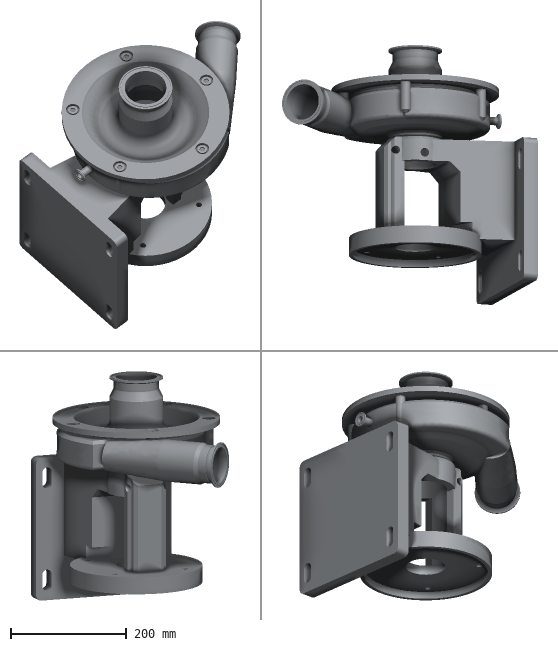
import cadquery as cq
import math


PLATE_SIZE = 250.5
PLATE_FRONT_Y = -181.0
PLATE_THICKNESS = 25.5
PLATE_BACK_Y = PLATE_FRONT_Y + PLATE_THICKNESS
PLATE_CORNER_RADIUS = 10.0
SLOT_SPACING_X = 210.0
SLOT_SPACING_Z = 180.0
SLOT_LENGTH = 37.2
SLOT_WIDTH = 17.0

FLANGE_RADIUS = 114.7
FLANGE_BOTTOM_Z = 54.5
FLANGE_TOP_Z = 84.0
FLANGE_BORE_RADIUS = 34.0
SPIGOT_RADIUS = 107.7
SPIGOT_DEPTH = 12.5
FLANGE_HOLE_CIRCLE_RADIUS = 92.5
FLANGE_HOLE_DIAMETER = 10.0
FLANGE_HOLE_COUNT = 4
FLANGE_FIRST_HOLE_ANGLE = 45

HUB_RADIUS = 51.0
HUB_BORE_RADIUS = 37.2
HUB_BOTTOM_Z = 212.5
HUB_TOP_Z = 254.0
HUB_ROOF_THICKNESS = 6.5
HUB_SIDE_HOLE_DIAMETER = 15.5
HUB_SIDE_HOLE_Z = 226.0
BODY_BOTTOM_Z = 77.0
BODY_HUB_Y = -14.5
BODY_HUB_HALF_WIDTH = math.sqrt(HUB_RADIUS**2 - BODY_HUB_Y**2)
BODY_PLATE_HALF_WIDTH = 74.0
WINDOW_FRONT_Y = -62.5
WINDOW_CHAMFER = 17.5
NOTCH_FRONT_Y = -83.5
NOTCH_TOP_Z = 106.5
NOTCH_OUTER_X = 61.5
NOTCH_INNER_X = 22.0
POST_FRONT_Y = 32.0
POST_SIDE_Y = 50.0
POST_STEP_Y = 54.5
POST_RIB_Y = 60.0
POST_BACK_Y = 65.0
POST_HALF_WIDTH = 35.5
POST_STEP_HALF_WIDTH = 29.8
POST_RIB_HALF_WIDTH = 28.5
POST_BACK_HALF_WIDTH = 22.0
POST_CHAMFER = 17.5
POST_HOLE_DIAMETER = 14.0
POST_HOLE_Y = 47.5
POST_HOLE_Z = 230.5

CASING_BOTTOM_Z = 273.3
CASING_TOP_Z = 325.5
CORE_RADIUS = 119.0
SPIRAL_START_RADIUS = 126.0
SPIRAL_START_ANGLE = 153
SPIRAL_END_RADIUS = 146.0
SPIRAL_END_ANGLE = 398
SPIRAL_STEPS = 12
CASING_TOP_CHAMFER = 5.5
CASING_BOTTOM_FILLET = 7.0
CASING_RING_RADIUS = 110.5
CASING_RING_TOP_Z = 330.5
GASKET_RADIUS = 107.7
BELLY_RADIUS = 112.0
BELLY_BEND_RADIUS = 94.0
BELLY_BEND_Z = 267.5
BELLY_BOTTOM_RADIUS = 51.0
BELLY_BOTTOM_Z = 265.0
NECK_RADIUS = 47.0
NECK_TOP_Z = 261.5
NECK_FOOT_RADIUS = 44.5
NECK_CHAMFER_TOP_Z = 258.0
NECK_CHAMFER_BOTTOM_Z = 255.7

COVER_RADIUS = 145.0
COVER_BOTTOM_Z = 335.0
COVER_TOP_Z = 344.5
DISH_RADIUS = 110.0
DISH_EDGE_CHAMFER = 2.5
DISH_CONE_END_RADIUS = 88.0
DISH_CONE_END_DEPTH = 19.5
DISH_FLOOR_RADIUS = 76.5
DISH_FLOOR_DEPTH = 24.5
INLET_FILLET = 19.3

SCREW_COUNT = 5
SCREW_CIRCLE_RADIUS = 125.5
SCREW_FIRST_ANGLE = 9
BOSS_RADIUS = 8.8
BOSS_BOTTOM_Z = 280.5
BOSS_TIP_CHAMFER = 5.0
COUNTERBORE_RADIUS = 12.0
COUNTERBORE_DEPTH = 5.3
SCREW_HEAD_RADIUS = 8.5
SCREW_HEAD_HEIGHT = 3.5
SOCKET_WIDTH = 8.8
SOCKET_DEPTH = 2.5

INLET_TOP_Z = 415.0
INLET_RADIUS = 46.5
INLET_CONE_BOTTOM_Z = 379.5
INLET_NECK_RADIUS = 39.0
INLET_NECK_BOTTOM_Z = 395.5
INLET_BORE_RADIUS = 36.0
INLET_BORE_BOTTOM_Z = 375.0
INLET_CHAMBER_RADIUS = 42.0
INLET_CHAMBER_BOTTOM_Z = 324.0
EYE_RADIUS = 25.0
EYE_DEPTH = 15.0
EYE_FILLET = 14.5

OUTLET_ANGLE = 135
OUTLET_AXIS_OFFSET = 115.0
OUTLET_AXIS_Z = 297.0
DIFFUSER_LENGTH = 106.5
DIFFUSER_START_OFFSET = 111.5
DIFFUSER_START_HALF_WIDTH = 34.5
DIFFUSER_START_HALF_HEIGHT = 27.5
OUTLET_RADIUS = 36.5
OUTLET_CONE_START = 174.5
OUTLET_CONE_END = 181.7
OUTLET_NECK_RADIUS = 33.5
OUTLET_STUB_RADIUS = 32.0
OUTLET_STUB_START = 196.0
OUTLET_END = 209.0
OUTLET_BORE_RADIUS = 31.0
OUTLET_BORE_START = 52.5

DRAIN_Z = 299.5
DRAIN_END_Y = -154.0
DRAIN_ROOT_Y = -127.0
DRAIN_RADIUS = 7.0
DRAIN_BORE_RADIUS = 5.5

FERRULE_RIM = 2.5
FERRULE_CONE = 3.0
INLET_FERRULE_RADIUS = 46.5
OUTLET_FERRULE_RADIUS = 39.5
DRAIN_FERRULE_RADIUS = 12.5
GROOVE_WIDTH = 2.0
GROOVE_DEPTH = 1.5


def cylinder(radius, bottom, top):
    return cq.Workplane("XY").workplane(offset=bottom).circle(radius).extrude(top - bottom)


def revolved(profile):
    """Turn a closed (radius, z) profile around the Z axis."""
    return cq.Workplane("XZ").polyline(profile).close().revolve(360, (0, 0), (0, 1))


def placed(shape, plane):
    """Move a shape built on the global axes onto a plane."""
    return cq.Workplane(shape.val().moved(cq.Location(plane)))


def polar(radius, angle):
    return (radius * math.cos(math.radians(angle)), radius * math.sin(math.radians(angle)))


def ferrule(rim_radius, neck_radius, end):
    """Clamp rim along +Z ending at `end`, with a tapered back and a gasket groove in its face."""
    rim_start = end - FERRULE_RIM
    body = revolved([
        (0, rim_start - FERRULE_CONE),
        (neck_radius, rim_start - FERRULE_CONE),
        (rim_radius, rim_start),
        (rim_radius, end),
        (0, end),
    ])
    groove_middle = (rim_radius + neck_radius) / 2
    groove = (
        cq.Workplane("XY").workplane(offset=end)
        .circle(groove_middle + GROOVE_WIDTH / 2)
        .circle(groove_middle - GROOVE_WIDTH / 2)
        .extrude(-GROOVE_DEPTH)
    )
    return body.cut(groove)


def make_base_plate():
    front = cq.Workplane("XZ", origin=(0, PLATE_FRONT_Y, PLATE_SIZE / 2))
    plate = front.rect(PLATE_SIZE, PLATE_SIZE).extrude(-PLATE_THICKNESS)
    plate = plate.edges("|Y").fillet(PLATE_CORNER_RADIUS)
    slots = (
        front.rarray(SLOT_SPACING_X, SLOT_SPACING_Z, 2, 2)
        .slot2D(SLOT_LENGTH, SLOT_WIDTH, 90)
        .extrude(-PLATE_THICKNESS)
    )
    return plate.cut(slots)


def make_bracket_body():
    """Tapered block joining the hub to the base plate, with the coupling window cut out below."""
    body = (
        cq.Workplane("XY").workplane(offset=BODY_BOTTOM_Z)
        .polyline([
            (-BODY_HUB_HALF_WIDTH, BODY_HUB_Y),
            (BODY_HUB_HALF_WIDTH, BODY_HUB_Y),
            (BODY_PLATE_HALF_WIDTH, PLATE_BACK_Y),
            (-BODY_PLATE_HALF_WIDTH, PLATE_BACK_Y),
        ])
        .close().extrude(PLATE_SIZE - BODY_BOTTOM_Z)
    )
    window = (
        cq.Workplane("YZ")
        .polyline([
            (WINDOW_FRONT_Y, BODY_BOTTOM_Z),
            (WINDOW_FRONT_Y, HUB_BOTTOM_Z - WINDOW_CHAMFER),
            (WINDOW_FRONT_Y + WINDOW_CHAMFER, HUB_BOTTOM_Z),
            (BODY_HUB_Y, HUB_BOTTOM_Z),
            (BODY_HUB_Y, BODY_BOTTOM_Z),
        ])
        .close().extrude(BODY_PLATE_HALF_WIDTH, both=True)
    )
    notch = (
        cq.Workplane("XY").workplane(offset=FLANGE_TOP_Z)
        .polyline([
            (NOTCH_OUTER_X, NOTCH_FRONT_Y),
            (NOTCH_INNER_X, WINDOW_FRONT_Y),
            (NOTCH_OUTER_X, WINDOW_FRONT_Y),
        ])
        .close().extrude(NOTCH_TOP_Z - FLANGE_TOP_Z)
    )
    return body.cut(window).cut(notch).cut(notch.mirror("YZ"))


def make_post():
    """Rear post from the flange up to the hub, hollowed by the bore and stepped at the back."""
    right_side = [
        (POST_HALF_WIDTH, POST_FRONT_Y),
        (POST_HALF_WIDTH, POST_SIDE_Y),
        (POST_STEP_HALF_WIDTH, POST_STEP_Y),
        (POST_RIB_HALF_WIDTH, POST_RIB_Y),
        (POST_BACK_HALF_WIDTH, POST_BACK_Y),
    ]
    left_side = [(-x, y) for x, y in reversed(right_side)]
    post = (
        cq.Workplane("XY").workplane(offset=FLANGE_BOTTOM_Z)
        .polyline(right_side + left_side)
        .close().extrude(HUB_TOP_Z - FLANGE_BOTTOM_Z)
    )
    top_chamfer = (
        cq.Workplane("YZ")
        .polyline([
            (POST_BACK_Y - POST_CHAMFER, HUB_TOP_Z),
            (POST_BACK_Y, HUB_TOP_Z),
            (POST_BACK_Y, HUB_TOP_Z - POST_CHAMFER),
        ])
        .close().extrude(POST_HALF_WIDTH, both=True)
    )
    return post.cut(top_chamfer)


def make_bracket():
    bracket = make_base_plate().union(make_bracket_body())
    bracket = bracket.union(make_post())
    bracket = bracket.union(cylinder(HUB_RADIUS, HUB_BOTTOM_Z, HUB_TOP_Z))
    bracket = bracket.cut(cylinder(HUB_BORE_RADIUS, FLANGE_TOP_Z, HUB_TOP_Z - HUB_ROOF_THICKNESS))
    bracket = bracket.union(cylinder(FLANGE_RADIUS, FLANGE_BOTTOM_Z, FLANGE_TOP_Z))
    bracket = bracket.cut(cylinder(FLANGE_BORE_RADIUS, FLANGE_BOTTOM_Z, FLANGE_TOP_Z))
    bracket = bracket.cut(cylinder(SPIGOT_RADIUS, FLANGE_BOTTOM_Z, FLANGE_BOTTOM_Z + SPIGOT_DEPTH))
    flange_holes = (
        cq.Workplane("XY").workplane(offset=FLANGE_BOTTOM_Z)
        .polarArray(FLANGE_HOLE_CIRCLE_RADIUS, FLANGE_FIRST_HOLE_ANGLE, 360, FLANGE_HOLE_COUNT)
        .circle(FLANGE_HOLE_DIAMETER / 2)
        .extrude(FLANGE_TOP_Z - FLANGE_BOTTOM_Z)
    )
    side_hole = (
        cq.Workplane("YZ").center(0, HUB_SIDE_HOLE_Z)
        .circle(HUB_SIDE_HOLE_DIAMETER / 2).extrude(-HUB_RADIUS)
    )
    post_hole = (
        cq.Workplane("YZ").center(POST_HOLE_Y, POST_HOLE_Z)
        .circle(POST_HOLE_DIAMETER / 2).extrude(POST_HALF_WIDTH, both=True)
    )
    return bracket.cut(flange_holes).cut(side_hole).cut(post_hole)


def soften_rims(body):
    """Chamfer the upper rim of a casing part and round the lower one."""
    body = body.faces(">Z").edges().chamfer(CASING_TOP_CHAMFER)
    return body.faces("<Z").edges().fillet(CASING_BOTTOM_FILLET)


def spiral_point(fraction):
    """Point on the volute outline, whose radius grows with the square of the turned fraction."""
    radius = SPIRAL_START_RADIUS + (SPIRAL_END_RADIUS - SPIRAL_START_RADIUS) * fraction**2
    angle = SPIRAL_START_ANGLE + (SPIRAL_END_ANGLE - SPIRAL_START_ANGLE) * fraction
    return polar(radius, angle)


def make_casing():
    """Round core inside a volute that grows slowly at first and faster towards the outlet.

    A conical belly and a neck below carry it on the bracket hub.
    """
    outline = [spiral_point(step / SPIRAL_STEPS) for step in range(SPIRAL_STEPS + 1)]
    volute = (
        cq.Workplane("XY").workplane(offset=CASING_BOTTOM_Z)
        .moveTo(*outline[0])
        .spline(outline[1:], includeCurrent=True)
        .close().extrude(CASING_TOP_Z - CASING_BOTTOM_Z)
    )
    core = cylinder(CORE_RADIUS, CASING_BOTTOM_Z, CASING_TOP_Z)
    casing = soften_rims(volute).union(soften_rims(core))
    belly_and_neck = revolved([
        (0, CASING_BOTTOM_Z),
        (BELLY_RADIUS, CASING_BOTTOM_Z),
        (BELLY_BEND_RADIUS, BELLY_BEND_Z),
        (BELLY_BOTTOM_RADIUS, BELLY_BOTTOM_Z),
        (NECK_RADIUS, NECK_TOP_Z),
        (NECK_RADIUS, NECK_CHAMFER_TOP_Z),
        (NECK_FOOT_RADIUS, NECK_CHAMFER_BOTTOM_Z),
        (NECK_FOOT_RADIUS, HUB_TOP_Z),
        (0, HUB_TOP_Z),
    ])
    ring = cylinder(CASING_RING_RADIUS, CASING_TOP_Z, CASING_RING_TOP_Z)
    gasket = cylinder(GASKET_RADIUS, CASING_RING_TOP_Z, COVER_BOTTOM_Z)
    return casing.union(belly_and_neck).union(ring).union(gasket)


def at_screws(shape):
    """Copies of a shape at every cover screw."""
    copies = cq.Workplane("XY")
    for index in range(SCREW_COUNT):
        angle = SCREW_FIRST_ANGLE + index * 360 / SCREW_COUNT
        copies = copies.add(shape.translate((*polar(SCREW_CIRCLE_RADIUS, angle), 0)))
    return copies.combine()


def make_bosses():
    boss = cylinder(BOSS_RADIUS, BOSS_BOTTOM_Z, COVER_BOTTOM_Z)
    return at_screws(boss.faces("<Z").chamfer(BOSS_TIP_CHAMFER))


def make_dish():
    """Ring-shaped recess in the cover, rising on a fillet to the inlet nozzle."""
    floor_z = COVER_TOP_Z - DISH_FLOOR_DEPTH
    cone_end_z = COVER_TOP_Z - DISH_CONE_END_DEPTH
    fillet_radius = INLET_RADIUS + INLET_FILLET
    fillet_side = INLET_FILLET * (1 - math.sqrt(0.5))
    return (
        cq.Workplane("XZ")
        .moveTo(INLET_RADIUS, COVER_TOP_Z)
        .lineTo(DISH_RADIUS, COVER_TOP_Z)
        .lineTo(DISH_RADIUS - DISH_EDGE_CHAMFER, COVER_TOP_Z - DISH_EDGE_CHAMFER)
        .lineTo(DISH_CONE_END_RADIUS, cone_end_z)
        .spline([(DISH_FLOOR_RADIUS, floor_z)], tangents=[
            (DISH_CONE_END_RADIUS - DISH_RADIUS, -DISH_CONE_END_DEPTH),
            (-1, 0),
        ], includeCurrent=True)
        .lineTo(fillet_radius, floor_z)
        .threePointArc(
            (INLET_RADIUS + fillet_side, floor_z + fillet_side),
            (INLET_RADIUS, floor_z + INLET_FILLET),
        )
        .close().revolve(360, (0, 0), (0, 1))
    )


def make_screw_pockets():
    """Counterbores in the cover, each leaving a socket screw head standing inside."""
    head_bottom = COVER_TOP_Z - COUNTERBORE_DEPTH
    counterbore = cylinder(COUNTERBORE_RADIUS, head_bottom, COVER_TOP_Z)
    head = cylinder(SCREW_HEAD_RADIUS, head_bottom, head_bottom + SCREW_HEAD_HEIGHT)
    socket_diameter = SOCKET_WIDTH / math.cos(math.pi / 6)
    head = head.faces(">Z").workplane().polygon(6, socket_diameter).cutBlind(-SOCKET_DEPTH)
    return at_screws(counterbore.cut(head))


def make_cover():
    return cylinder(COVER_RADIUS, COVER_BOTTOM_Z, COVER_TOP_Z).cut(make_screw_pockets())


def make_inlet():
    rim_start = INLET_TOP_Z - FERRULE_RIM
    nozzle = revolved([
        (0, COVER_BOTTOM_Z),
        (INLET_RADIUS, COVER_BOTTOM_Z),
        (INLET_RADIUS, INLET_CONE_BOTTOM_Z),
        (INLET_NECK_RADIUS, INLET_NECK_BOTTOM_Z),
        (INLET_NECK_RADIUS, rim_start),
        (0, rim_start),
    ])
    return nozzle.union(ferrule(INLET_FERRULE_RADIUS, INLET_NECK_RADIUS, INLET_TOP_Z))


def make_inlet_bore():
    bore = cylinder(INLET_BORE_RADIUS, INLET_BORE_BOTTOM_Z, INLET_TOP_Z)
    chamber = cylinder(INLET_CHAMBER_RADIUS, INLET_CHAMBER_BOTTOM_Z, INLET_BORE_BOTTOM_Z)
    eye = cylinder(EYE_RADIUS, INLET_CHAMBER_BOTTOM_Z - EYE_DEPTH, INLET_CHAMBER_BOTTOM_Z)
    eye = eye.faces("<Z").edges().fillet(EYE_FILLET)
    return bore.union(chamber).union(eye)


def outlet_plane():
    """Plane whose normal runs along the outlet, with its origin beside the pump axis."""
    origin = polar(OUTLET_AXIS_OFFSET, OUTLET_ANGLE - 90)
    return cq.Plane(
        origin=(*origin, OUTLET_AXIS_Z),
        xDir=(*polar(1, OUTLET_ANGLE - 90), 0),
        normal=(*polar(1, OUTLET_ANGLE), 0),
    )


def make_outlet():
    start_offset = DIFFUSER_START_OFFSET - OUTLET_AXIS_OFFSET
    diffuser = (
        cq.Workplane("XY").center(start_offset, 0)
        .ellipse(DIFFUSER_START_HALF_WIDTH, DIFFUSER_START_HALF_HEIGHT)
        .workplane(offset=DIFFUSER_LENGTH).center(-start_offset, 0)
        .circle(OUTLET_RADIUS)
        .loft(combine=True)
    )
    rim_start = OUTLET_END - FERRULE_RIM
    tube = revolved([
        (0, DIFFUSER_LENGTH),
        (OUTLET_RADIUS, DIFFUSER_LENGTH),
        (OUTLET_RADIUS, OUTLET_CONE_START),
        (OUTLET_NECK_RADIUS, OUTLET_CONE_END),
        (OUTLET_NECK_RADIUS, OUTLET_STUB_START),
        (OUTLET_STUB_RADIUS, OUTLET_STUB_START),
        (OUTLET_STUB_RADIUS, rim_start),
        (0, rim_start),
    ])
    outlet = diffuser.union(tube).union(ferrule(OUTLET_FERRULE_RADIUS, OUTLET_STUB_RADIUS, OUTLET_END))
    return placed(outlet, outlet_plane())


def make_outlet_bore():
    bore = cylinder(OUTLET_BORE_RADIUS, OUTLET_BORE_START, OUTLET_END)
    return placed(bore, outlet_plane())


def make_drain():
    plane = cq.Plane(origin=(0, 0, DRAIN_Z), xDir=(1, 0, 0), normal=(0, -1, 0))
    stem = cylinder(DRAIN_RADIUS, -DRAIN_ROOT_Y, -DRAIN_END_Y - FERRULE_RIM)
    nipple = stem.union(ferrule(DRAIN_FERRULE_RADIUS, DRAIN_RADIUS, -DRAIN_END_Y))
    return placed(nipple.cut(cylinder(DRAIN_BORE_RADIUS, -DRAIN_ROOT_Y, -DRAIN_END_Y)), plane)


pump = make_casing().union(make_outlet()).union(make_bosses()).union(make_drain())
pump = pump.union(make_cover()).cut(make_dish()).union(make_inlet())
pump = pump.cut(make_inlet_bore()).cut(make_outlet_bore())
result = make_bracket().union(pump)